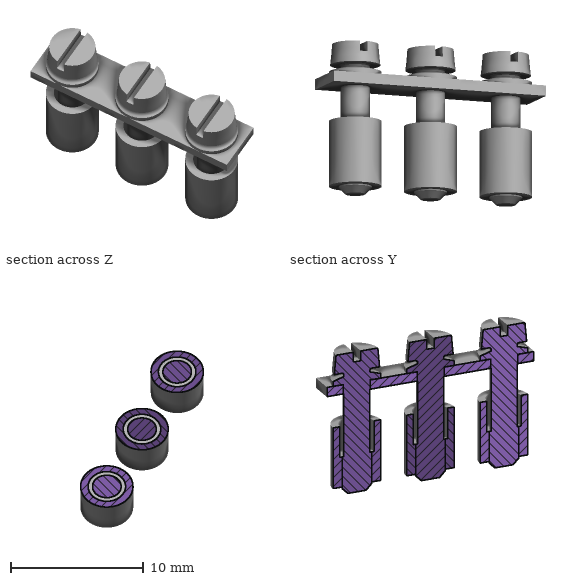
import cadquery as cq

pitch = 6.1
screw_count = 3
end_margin = 2.5
plate_length = (screw_count - 1) * pitch + 2 * end_margin
plate_width = 4.0
plate_thickness = 0.8
plate_bottom = 8.2
plate_top = plate_bottom + plate_thickness

sleeve_diameter = 4.0
sleeve_length = 5.0
sleeve_bottom = 0.6
clearance_diameter = 2.8
thread_diameter = 2.5
thread_top = sleeve_bottom + sleeve_length / 2

screw_height = 11.5
shank_diameter = 2.2
tip_chamfer = 0.5
collar_diameter = 4.0
collar_rim_height = 0.37
collar_cone_height = 0.28
head_height = 1.6
head_bottom_diameter = 3.8
head_top_diameter = 3.5
neck_chamfer = 0.1
slot_width = 0.6
slot_depth = 0.8

screw_positions = [(i - (screw_count - 1) / 2) * pitch for i in range(screw_count)]


def make_plate():
    """Flat bridge plate with one close-fitting hole per screw."""
    blank = cq.Workplane("XY").workplane(offset=plate_bottom).rect(plate_length, plate_width)
    holes = [(x, 0) for x in screw_positions]
    return blank.pushPoints(holes).circle(shank_diameter / 2).extrude(plate_thickness)


def make_sleeve(x):
    """Round sleeve with a stepped through bore."""
    clearance_depth = sleeve_bottom + sleeve_length - thread_top
    return (
        cq.Workplane("XY", origin=(x, 0, sleeve_bottom))
        .circle(sleeve_diameter / 2)
        .extrude(sleeve_length)
        .faces(">Z")
        .workplane()
        .cboreHole(thread_diameter, clearance_diameter, clearance_depth)
    )


def make_screw(x):
    """Slotted screw with a conical collar that rests on the plate."""
    thread_radius = thread_diameter / 2
    shank_radius = shank_diameter / 2
    collar_radius = collar_diameter / 2
    rim_top = plate_top + collar_rim_height
    cone_top = rim_top + collar_cone_height
    head_bottom = screw_height - head_height

    body = (
        cq.Workplane("XZ")
        .lineTo(thread_radius - tip_chamfer, 0)
        .lineTo(thread_radius, tip_chamfer)
        .lineTo(thread_radius, thread_top)
        .lineTo(shank_radius, thread_top)
        .lineTo(shank_radius, plate_top)
        .lineTo(collar_radius, plate_top)
        .lineTo(collar_radius, rim_top)
        .lineTo(shank_radius, cone_top)
        .lineTo(shank_radius, head_bottom - neck_chamfer)
        .lineTo(shank_radius + neck_chamfer, head_bottom)
        .lineTo(head_bottom_diameter / 2, head_bottom)
        .lineTo(head_top_diameter / 2, screw_height)
        .lineTo(0, screw_height)
        .close()
        .revolve(360, (0, 0), (0, 1))
    )

    slot = (
        cq.Workplane("XY", origin=(0, 0, screw_height - slot_depth))
        .rect(slot_width, head_bottom_diameter)
        .extrude(slot_depth)
    )
    return body.cut(slot).translate((x, 0, 0))


plate = make_plate()
screws = []
sleeves = []
for screw_x in screw_positions:
    screws.append(make_screw(screw_x).solids().val())
    sleeves.append(make_sleeve(screw_x).solids().val())

result = cq.Compound.makeCompound([plate.val(), *screws, *sleeves])